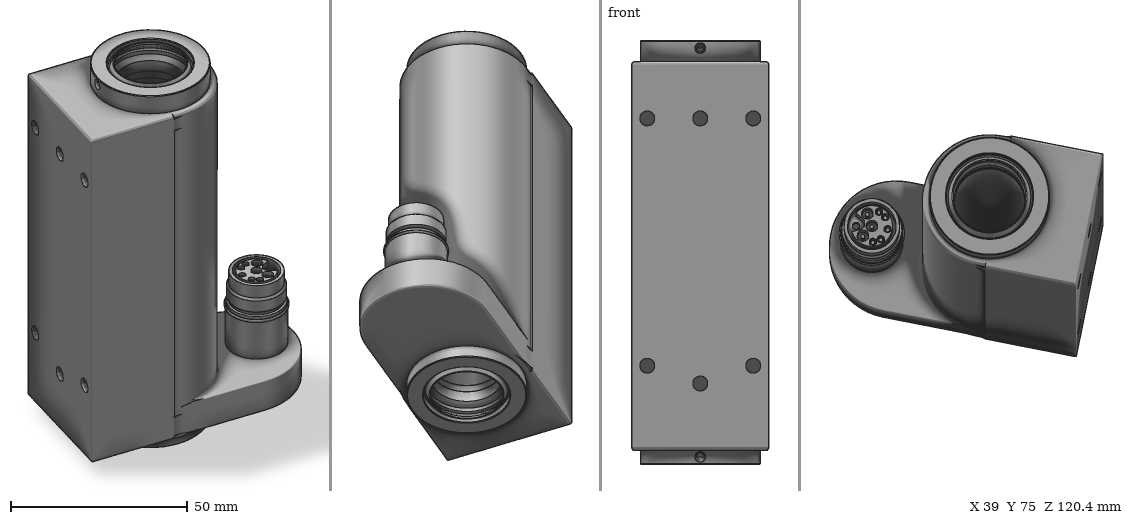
import cadquery as cq
import math

LENGTH = 120.4
BLOCK_WIDTH = 39.0
DEPTH = 75.0
FRONT_Y = -29.0
REAR_Y = FRONT_Y + DEPTH
HOUSING_BOTTOM = 4.0
HOUSING_TOP = 114.4
HOUSING_HEIGHT = HOUSING_TOP - HOUSING_BOTTOM

BLOCK_REAR_Y = -2.5
BACK_RADIUS = 19.0
FOOT_HEIGHT = 10.4
FOOT_TOP = HOUSING_BOTTOM + FOOT_HEIGHT
FOOT_ARC_Y = REAR_Y - BACK_RADIUS
END_FILLET = 1.0
CORNER_FILLET = 0.2
FOOT_TOP_FILLET = 0.4
ROOT_FILLET = 1.0
UPPER_RAMP_BOTTOM = 109.3
LOWER_RAMP_TOP = 11.4

MOUNT_HOLE_DIAMETER = 4.2
MOUNT_HOLE_DEPTH = 9.6
MOUNT_HOLE_X = 15.0
UPPER_HOLES_Z = 98.2
LOWER_SIDE_HOLES_Z = 28.0
LOWER_MIDDLE_HOLE_Z = 23.0

BORE_RADIUS = 20.1 / 2
BORE_GROOVE_RADIUS = 20.3 / 2
BORE_GROOVE_START = 9.6
BORE_GROOVE_END = 11.9
SEAT_RADIUS = 23.0 / 2
SEAT_DEPTH = 4.7
SEAT_CONE_RADIUS = 21.3 / 2
SEAT_CONE_DEPTH = 5.4
UNDERCUT_RADIUS = 24.0 / 2
UNDERCUT_START = 0.6
UNDERCUT_MIDDLE = 3.0
UNDERCUT_END = 3.5
LIP_INNER_RADIUS = 20.6 / 2
LIP_TOP_RADIUS = 21.3 / 2
LIP_BASE_RADIUS = 23.5 / 2
NECK_RADIUS = 14.0
NECK_DEPTH = 2.2

RING_RADIUS = 34.1 / 2
RING_BORE_RADIUS = 24.6 / 2
RING_EDGE_CHAMFER = 0.2
SET_HOLE_RADIUS = 3.0 / 2
SET_HOLE_END_RADIUS = 14.2
SET_HOLE_TIP_RADIUS = 13.2

CONNECTOR_Y = 34.1
CONNECTOR_TOP = 38.8
SHELL_RADIUS = 17.8 / 2
BEAD_RADIUS = 18.5 / 2
BEAD_BOTTOM = 26.8
BEAD_TOP = 27.8
SHOULDER_RADIUS = 17.5 / 2
SHOULDER_TOP = 28.8
NOSE_RADIUS = 15.8 / 2
BAND_RADIUS = 17.1 / 2
BAND_BOTTOM = 29.6
BAND_TOP = 34.5
BAND_CHAMFER = 0.6
SHELL_BORE_RADIUS = 6.9
SHELL_BORE_DEPTH = 8.4

INSERT_RADIUS = 5.9
INSERT_TOP = CONNECTOR_TOP - 0.1
INSERT_FLOOR_THICKNESS = 3.6
INSERT_BOTTOM = CONNECTOR_TOP - SHELL_BORE_DEPTH
INSERT_FLOOR = INSERT_BOTTOM + INSERT_FLOOR_THICKNESS
INNER_SOCKET_RADIUS = 3.3 / 2
OUTER_SOCKET_RADIUS = 2.0 / 2
SOCKET_DEPTH = 3.6
PIN_RADIUS = 1.15 / 2
PIN_HEIGHT = 2.4
OUTER_PIN_CIRCLE = 4.6
OUTER_PIN_ANGLES = (-165, -135, -90, -45, -15)
INNER_PIN_X = 3.3
INNER_PIN_Y = 1.9
KEY_HALF_ANGLE = 28
KEY_ROUND_Y = 4.0
KEY_HOLE_Y = 4.6
KEY_HOLE_RADIUS = 2.0 / 2
KEY_HOLE_DEPTH = 1.8


def cylinder(radius, bottom, top, x=0.0, y=0.0):
    return cq.Workplane("XY", origin=(x, y, bottom)).circle(radius).extrude(top - bottom)


def revolved(points):
    """Turn a (radius, Z) profile about the Z axis."""
    return cq.Workplane("XZ").polyline(points).close().revolve(360, (0, 0, 0), (0, 1, 0))


def flipped(part):
    """Mirror a feature at the upper end to the lower end."""
    return part.mirror("XY", (0, 0, LENGTH / 2))



def block():
    return (
        cq.Workplane("XY", origin=(0, 0, HOUSING_BOTTOM))
        .center(0, (FRONT_Y + BLOCK_REAR_Y) / 2)
        .rect(BLOCK_WIDTH, BLOCK_REAR_Y - FRONT_Y)
        .extrude(HOUSING_HEIGHT)
        .edges("|Z and <Y").fillet(CORNER_FILLET)
        .faces("<Z or >Z").edges("not >Y").fillet(END_FILLET)
    )


def u_outline(height, arc_y):
    """Prism with straight sides from the block and a half-round back end."""
    return (
        cq.Workplane("XY", origin=(0, 0, HOUSING_BOTTOM))
        .moveTo(-BACK_RADIUS, BLOCK_REAR_Y)
        .lineTo(BACK_RADIUS, BLOCK_REAR_Y)
        .lineTo(BACK_RADIUS, arc_y)
        .threePointArc((0, arc_y + BACK_RADIUS), (-BACK_RADIUS, arc_y))
        .close()
        .extrude(height)
    )


def back():
    return u_outline(HOUSING_HEIGHT, 0).faces(">Z").edges("not <Y").fillet(END_FILLET)


def foot():
    plate = u_outline(FOOT_HEIGHT, FOOT_ARC_Y)
    plate = plate.faces("<Z").edges("not <Y").fillet(END_FILLET)
    return plate.faces(">Z").edges("not <Y").fillet(FOOT_TOP_FILLET)


def root_fillet():
    """Concave fillet where the round back stands on the foot."""
    middle = ROOT_FILLET * (1 - math.sqrt(0.5))
    ring = (
        cq.Workplane("XZ")
        .moveTo(BACK_RADIUS - ROOT_FILLET, FOOT_TOP)
        .lineTo(BACK_RADIUS + ROOT_FILLET, FOOT_TOP)
        .threePointArc(
            (BACK_RADIUS + middle, FOOT_TOP + middle),
            (BACK_RADIUS, FOOT_TOP + ROOT_FILLET),
        )
        .lineTo(BACK_RADIUS - ROOT_FILLET, FOOT_TOP + ROOT_FILLET)
        .close()
        .revolve(360, (0, 0, 0), (0, 1, 0))
    )
    width = 2 * (BACK_RADIUS - FOOT_TOP_FILLET)
    limit = (
        cq.Workplane("XY", origin=(0, BACK_RADIUS + ROOT_FILLET, FOOT_TOP))
        .rect(width, 2 * BACK_RADIUS)
        .extrude(ROOT_FILLET)
    )
    return ring.intersect(limit)


def side_ramp(side, bottom, top):
    """Shallow concave blend from the flat side of the back out to the wider block."""
    rise = BLOCK_WIDTH / 2 - BACK_RADIUS
    return (
        cq.Workplane("XY", origin=(0, 0, bottom))
        .moveTo(side * BACK_RADIUS, 0)
        .threePointArc(
            (side * (BACK_RADIUS + rise / 4), BLOCK_REAR_Y / 2),
            (side * BLOCK_WIDTH / 2, BLOCK_REAR_Y),
        )
        .lineTo(side * BACK_RADIUS, BLOCK_REAR_Y)
        .close()
        .extrude(top - bottom)
    )


def mounting_holes():
    spots = [
        (-MOUNT_HOLE_X, UPPER_HOLES_Z),
        (0, UPPER_HOLES_Z),
        (MOUNT_HOLE_X, UPPER_HOLES_Z),
        (-MOUNT_HOLE_X, LOWER_SIDE_HOLES_Z),
        (MOUNT_HOLE_X, LOWER_SIDE_HOLES_Z),
        (0, LOWER_MIDDLE_HOLE_Z),
    ]
    return (
        cq.Workplane("XZ", origin=(0, FRONT_Y, 0))
        .pushPoints(spots)
        .circle(MOUNT_HOLE_DIAMETER / 2)
        .extrude(-MOUNT_HOLE_DEPTH)
    )


def neck():
    """Step that carries the upper ring, topped by a tapered lip that stands inside it."""
    return revolved([
        (0, HOUSING_TOP),
        (NECK_RADIUS, HOUSING_TOP),
        (NECK_RADIUS, LENGTH - NECK_DEPTH),
        (LIP_BASE_RADIUS, LENGTH - NECK_DEPTH),
        (LIP_TOP_RADIUS, LENGTH),
        (0, LENGTH),
    ])


def lower_neck():
    return flipped(neck()).intersect(cylinder(NECK_RADIUS, 0, HOUSING_BOTTOM))


def bore_mouth():
    """Stepped entry of the bore at the upper end: undercut, seat, taper and shallow groove."""
    return revolved([
        (0, LENGTH),
        (LIP_INNER_RADIUS, LENGTH),
        (LIP_INNER_RADIUS, LENGTH - UNDERCUT_START),
        (UNDERCUT_RADIUS, LENGTH - UNDERCUT_MIDDLE),
        (SEAT_RADIUS, LENGTH - UNDERCUT_END),
        (SEAT_RADIUS, LENGTH - SEAT_DEPTH),
        (SEAT_CONE_RADIUS, LENGTH - SEAT_CONE_DEPTH),
        (BORE_RADIUS, HOUSING_TOP),
        (BORE_RADIUS, LENGTH - BORE_GROOVE_START),
        (BORE_GROOVE_RADIUS, LENGTH - BORE_GROOVE_START),
        (BORE_GROOVE_RADIUS, LENGTH - BORE_GROOVE_END),
        (0, LENGTH - BORE_GROOVE_END),
    ])


def make_housing():
    body = block().union(back()).union(foot()).union(root_fillet())
    for side in (-1, 1):
        body = body.union(side_ramp(side, UPPER_RAMP_BOTTOM, HOUSING_TOP - END_FILLET))
        body = body.union(side_ramp(side, HOUSING_BOTTOM + END_FILLET, LOWER_RAMP_TOP))
    body = body.union(neck()).union(lower_neck())
    body = body.cut(cylinder(BORE_RADIUS, 0, LENGTH))
    body = body.cut(bore_mouth()).cut(flipped(bore_mouth()))
    return body.cut(mounting_holes())



def make_ring(height):
    """Ring at the upper end, recessed to fit over the neck of the housing."""
    ring = revolved([
        (RING_BORE_RADIUS, LENGTH - RING_EDGE_CHAMFER),
        (RING_BORE_RADIUS + RING_EDGE_CHAMFER, LENGTH),
        (RING_RADIUS - RING_EDGE_CHAMFER, LENGTH),
        (RING_RADIUS, LENGTH - RING_EDGE_CHAMFER),
        (RING_RADIUS, LENGTH - height),
        (NECK_RADIUS, LENGTH - height),
        (NECK_RADIUS, LENGTH - NECK_DEPTH),
        (RING_BORE_RADIUS, LENGTH - NECK_DEPTH),
    ])
    return ring.cut(set_hole())


def set_hole():
    """Radial drilled hole with a conical end, level with the top of the neck."""
    return (
        cq.Workplane("XY", origin=(0, 0, LENGTH - NECK_DEPTH))
        .polyline([
            (0, -RING_RADIUS),
            (SET_HOLE_RADIUS, -RING_RADIUS),
            (SET_HOLE_RADIUS, -SET_HOLE_END_RADIUS),
            (0, -SET_HOLE_TIP_RADIUS),
        ])
        .close()
        .revolve(360, (0, 0, 0), (0, 1, 0))
    )



def make_connector_shell():
    bead_middle = (BEAD_BOTTOM + BEAD_TOP) / 2
    outside = (
        cq.Workplane("XZ")
        .moveTo(0, FOOT_TOP)
        .lineTo(SHELL_RADIUS, FOOT_TOP)
        .lineTo(SHELL_RADIUS, BEAD_BOTTOM)
        .threePointArc((BEAD_RADIUS, bead_middle), (SHELL_RADIUS, BEAD_TOP))
        .lineTo(SHOULDER_RADIUS, BEAD_TOP)
        .lineTo(SHOULDER_RADIUS, SHOULDER_TOP)
        .lineTo(NOSE_RADIUS, SHOULDER_TOP)
        .lineTo(NOSE_RADIUS, BAND_BOTTOM)
        .lineTo(BAND_RADIUS, BAND_BOTTOM + BAND_CHAMFER)
        .lineTo(BAND_RADIUS, BAND_TOP - BAND_CHAMFER)
        .lineTo(NOSE_RADIUS, BAND_TOP)
        .lineTo(NOSE_RADIUS, CONNECTOR_TOP)
        .lineTo(0, CONNECTOR_TOP)
        .close()
        .revolve(360, (0, 0, 0), (0, 1, 0))
    )
    shell = outside.cut(cylinder(SHELL_BORE_RADIUS, INSERT_BOTTOM, CONNECTOR_TOP))
    return shell.translate((0, CONNECTOR_Y, 0))


def inner_pin_places():
    return [(0, 0), (-INNER_PIN_X, INNER_PIN_Y), (INNER_PIN_X, INNER_PIN_Y)]


def outer_pin_places():
    turns = [math.radians(angle) for angle in OUTER_PIN_ANGLES]
    return [(OUTER_PIN_CIRCLE * math.cos(turn), OUTER_PIN_CIRCLE * math.sin(turn)) for turn in turns]


def add_contacts(insert, places, socket_radius):
    """Sink a socket with a pin standing in it at each place."""
    socket_floor = INSERT_TOP - SOCKET_DEPTH
    for x, y in places:
        insert = insert.cut(cylinder(socket_radius, socket_floor, INSERT_TOP, x, y))
        insert = insert.union(cylinder(PIN_RADIUS, socket_floor, socket_floor + PIN_HEIGHT, x, y))
    return insert


def key_slot():
    """Fan-shaped slot with a round inner end, tangent to its two radial sides."""
    slope = math.radians(KEY_HALF_ANGLE)
    round_radius = KEY_ROUND_Y * math.sin(slope)
    tangent = KEY_ROUND_Y * math.cos(slope)
    return (
        cq.Workplane("XY", origin=(0, 0, INSERT_FLOOR))
        .moveTo(-tangent * math.sin(slope), tangent * math.cos(slope))
        .threePointArc(
            (0, KEY_ROUND_Y - round_radius),
            (tangent * math.sin(slope), tangent * math.cos(slope)),
        )
        .lineTo(SHELL_BORE_RADIUS * math.tan(slope), SHELL_BORE_RADIUS)
        .lineTo(-SHELL_BORE_RADIUS * math.tan(slope), SHELL_BORE_RADIUS)
        .close()
        .extrude(INSERT_TOP - INSERT_FLOOR)
    )


def make_insert():
    insert = cylinder(SHELL_BORE_RADIUS, INSERT_BOTTOM, INSERT_FLOOR)
    insert = insert.union(cylinder(INSERT_RADIUS, INSERT_FLOOR, INSERT_TOP))
    insert = insert.cut(key_slot())
    insert = insert.cut(
        cylinder(KEY_HOLE_RADIUS, INSERT_FLOOR - KEY_HOLE_DEPTH, INSERT_FLOOR, y=KEY_HOLE_Y)
    )
    insert = add_contacts(insert, inner_pin_places(), INNER_SOCKET_RADIUS)
    insert = add_contacts(insert, outer_pin_places(), OUTER_SOCKET_RADIUS)
    return insert.translate((0, CONNECTOR_Y, 0))


housing = make_housing()
upper_ring = make_ring(LENGTH - HOUSING_TOP)
lower_ring = flipped(make_ring(HOUSING_BOTTOM))
connector_shell = make_connector_shell()
insert = make_insert()

result = cq.Compound.makeCompound([
    housing.val(),
    upper_ring.val(),
    lower_ring.val(),
    connector_shell.val(),
    insert.val(),
])